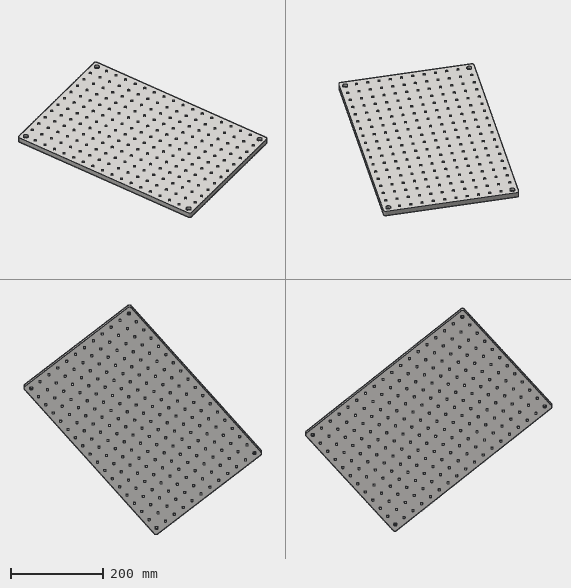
import cadquery as cq

plate_length = 450.0
columns = 18
rows = 12
pitch = plate_length / columns
plate_width = rows * pitch
plate_thickness = 12.5
corner_radius = 5.0

grid_hole_diameter = 5.0
mount_hole_diameter = 6.8
counterbore_diameter = 11.0
counterbore_depth = 7.0


def is_corner(column, row):
    return column in (0, columns - 1) and row in (0, rows - 1)


def cell_center(column, row):
    """Center of a grid cell, measured from the middle of the plate."""
    x = (column + 0.5) * pitch - plate_length / 2
    y = (row + 0.5) * pitch - plate_width / 2
    return (x, y)


cells = [(column, row) for column in range(columns) for row in range(rows)]
grid_points = [cell_center(*cell) for cell in cells if not is_corner(*cell)]
mount_points = [cell_center(*cell) for cell in cells if is_corner(*cell)]

plate = (
    cq.Workplane("XY")
    .box(plate_length, plate_width, plate_thickness, centered=(True, True, False))
    .edges("|Z")
    .fillet(corner_radius)
)

drilled_plate = (
    plate.faces(">Z")
    .workplane(origin=(0, 0, plate_thickness))
    .pushPoints(grid_points)
    .hole(grid_hole_diameter)
)

result = (
    drilled_plate.faces(">Z")
    .workplane(origin=(0, 0, plate_thickness))
    .pushPoints(mount_points)
    .cboreHole(mount_hole_diameter, counterbore_diameter, counterbore_depth)
)